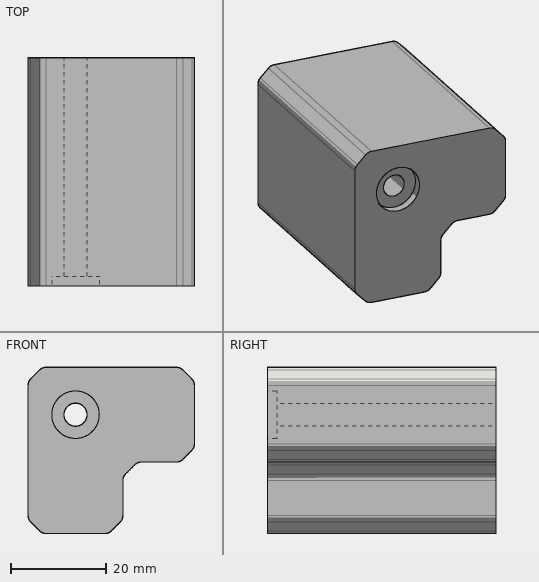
import cadquery as cq

side = 35.0
length = 48.0
arm_width = 19.95
corner_chamfer = 3.0
edge_radius = 1.9
hole_inset = 10.0
hole_diameter = 4.8
counterbore_diameter = 10.0
counterbore_depth = 2.0


def make_body():
    """L-shaped bar with its front face on Y = 0, extending toward +Y."""
    notch = side - arm_width
    outline = [
        (0, 0),
        (arm_width, 0),
        (arm_width, notch),
        (side, notch),
        (side, side),
        (0, side),
    ]
    bar = cq.Workplane("XZ").polyline(outline).close().extrude(-length)
    chamfered = bar.edges("|Y").chamfer(corner_chamfer)
    return chamfered.edges("|Y").fillet(edge_radius)


def make_bore(diameter, depth):
    """Cylinder on the hole axis, starting at the front face."""
    return (
        cq.Workplane("XZ")
        .center(hole_inset, side - hole_inset)
        .circle(diameter / 2)
        .extrude(-depth)
    )


through_hole = make_bore(hole_diameter, length)
counterbore = make_bore(counterbore_diameter, counterbore_depth)
result = make_body().cut(through_hole).cut(counterbore)